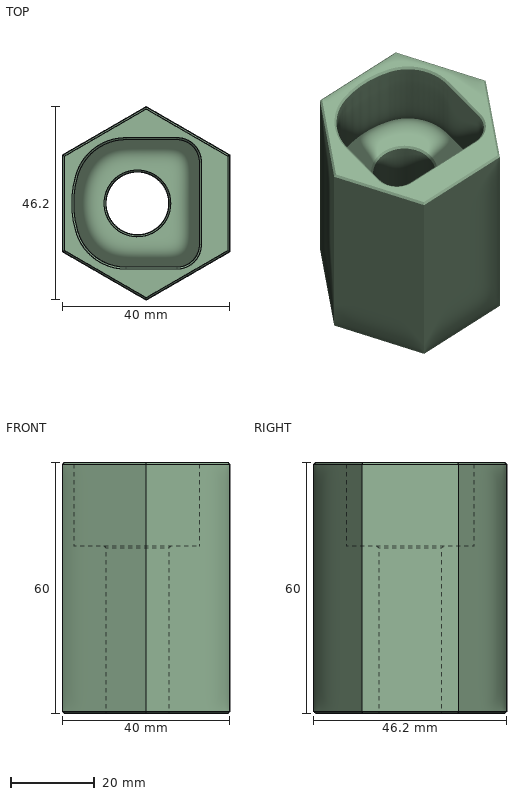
import cadquery as cq
import math

height = 60.0
across_flats = 40.0
side_count = 6
edge_chamfer = 0.5

pocket_depth = 20.0
pocket_width = 30.5
pocket_flat_x = 12.7
pocket_bow_x = -17.35
pocket_bow_radius = 23.0
pocket_bow_blend = 12.0
pocket_corner_radius = 5.4
pocket_chamfer = 0.5

bore_center_x = -2.1
bore_diameter = 15.0
bore_chamfer = 0.5

floor_z = height - pocket_depth


def make_body():
    across_corners = across_flats / math.cos(math.pi / side_count)
    hexagon = cq.Sketch().regularPolygon(across_corners / 2, side_count)
    body = cq.Workplane("XY").placeSketch(hexagon).extrude(height)
    return body.faces("<Z or >Z").chamfer(edge_chamfer)


def make_pocket():
    """Cutter for the pocket, from its floor up to the top face."""
    half_width = pocket_width / 2
    bow_center_x = pocket_bow_x + pocket_bow_radius
    bow_end_x = bow_center_x - math.sqrt(pocket_bow_radius**2 - half_width**2)
    return (
        cq.Workplane("XY", origin=(0, 0, floor_z))
        .moveTo(bow_end_x, -half_width)
        .lineTo(pocket_flat_x, -half_width)
        .lineTo(pocket_flat_x, half_width)
        .lineTo(bow_end_x, half_width)
        .threePointArc((pocket_bow_x, 0), (bow_end_x, -half_width))
        .close()
        .extrude(pocket_depth)
        .edges("|Z").edges("<X")
        .fillet(pocket_bow_blend)
        .edges("|Z").edges(">X")
        .fillet(pocket_corner_radius)
    )


def make_bore():
    """Cutter for the bore, from the bottom face up to the pocket floor."""
    return cq.Workplane("XY").center(bore_center_x, 0).circle(bore_diameter / 2).extrude(floor_z)


def chamfer_opening(part, face_selector, size):
    """Chamfer the rim of the single opening in the selected level face."""
    rim = part.faces("|Z").faces(face_selector).val().innerWires()[0]
    return part.newObject(rim.Edges()).chamfer(size)


result = make_body().cut(make_pocket())
result = chamfer_opening(result, ">Z", pocket_chamfer)

result = result.cut(make_bore())
result = chamfer_opening(result, ">Z[-2]", bore_chamfer)